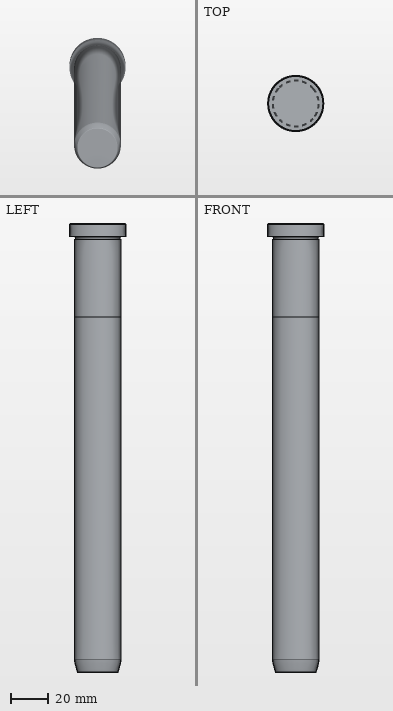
import cadquery as cq

total_length = 240.0
shank_diameter = 25.0
head_diameter = 30.0
head_thickness = 7.0
head_edge_chamfer = 0.5

relief_width = 1.5
relief_depth = 0.5
relief_corner_radius = 0.4

upper_length = 50.0

nose_length = 7.0
nose_tip_radius = 10.75
nose_bulge = 0.25
tip_fillet = 0.3

shank_radius = shank_diameter / 2
head_radius = head_diameter / 2
relief_radius = shank_radius - relief_depth
joint_height = total_length - upper_length
head_bottom = total_length - head_thickness
relief_bottom = head_bottom - relief_width


def make_headed_shank():
    """Upper body: head, relief groove and the fitted part of the shank."""
    profile = (
        cq.Workplane("XZ")
        .moveTo(0, joint_height)
        .lineTo(shank_radius, joint_height)
        .lineTo(shank_radius, relief_bottom)
        .lineTo(relief_radius, relief_bottom)
        .lineTo(relief_radius, head_bottom - relief_corner_radius)
        .radiusArc((relief_radius + relief_corner_radius, head_bottom), relief_corner_radius)
        .lineTo(head_radius, head_bottom)
        .lineTo(head_radius, total_length)
        .lineTo(0, total_length)
        .close()
    )
    body = profile.revolve(360, (0, 0, 0), (0, 1, 0))
    return body.faces(">Z").edges().chamfer(head_edge_chamfer)


def make_guide_shaft():
    """Lower body: the long plain shaft, ending in the convex lead-in nose."""
    nose_middle_radius = (shank_radius + nose_tip_radius) / 2 + nose_bulge
    profile = (
        cq.Workplane("XZ")
        .lineTo(nose_tip_radius, 0)
        .threePointArc((nose_middle_radius, nose_length / 2), (shank_radius, nose_length))
        .lineTo(shank_radius, joint_height)
        .lineTo(0, joint_height)
        .close()
    )
    body = profile.revolve(360, (0, 0, 0), (0, 1, 0))
    return body.faces("<Z").edges().fillet(tip_fillet)


headed_shank = make_headed_shank()
guide_shaft = make_guide_shaft()

result = cq.Compound.makeCompound([headed_shank.val(), guide_shaft.val()])